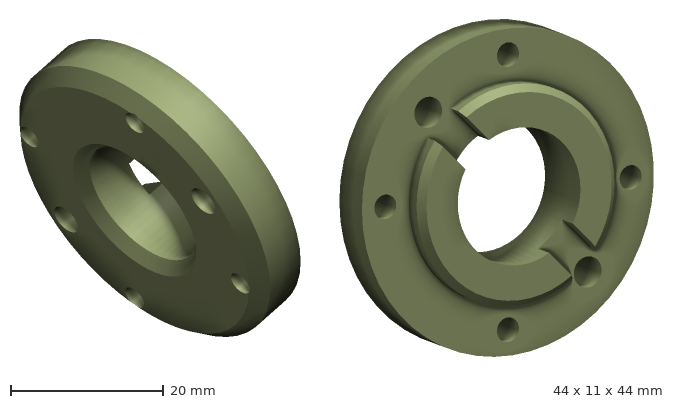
import cadquery as cq
import math

flange_diameter = 44.0
flange_thickness = 8.0
flange_chamfer = 2.0

boss_diameter = 29.85
total_thickness = 11.0
boss_height = total_thickness - flange_thickness
boss_chamfer = 0.95

bore_diameter = 18.5
countersink_diameter = 21.55
countersink_depth = (countersink_diameter - bore_diameter) / 2

small_hole_diameter = 3.3
small_hole_circle_radius = 18.5
small_hole_count = 4
large_hole_diameter = 4.2
large_hole_offset = 12.0
large_hole_circle_radius = large_hole_offset * math.sqrt(2)

slot_width = 5.0
slot_angle = 45.0


def make_ring():
    """Revolve the half section of flange, boss and countersunk bore about Y."""
    flange_radius = flange_diameter / 2
    boss_radius = boss_diameter / 2
    section = [
        (countersink_diameter / 2, 0),
        (flange_radius - flange_chamfer, 0),
        (flange_radius, flange_chamfer),
        (flange_radius, flange_thickness),
        (boss_radius, flange_thickness),
        (boss_radius, total_thickness - boss_chamfer),
        (boss_radius - boss_chamfer, total_thickness),
        (bore_diameter / 2, total_thickness),
        (bore_diameter / 2, countersink_depth),
    ]
    return cq.Workplane("XY").polyline(section).close().revolve(360, (0, 0), (0, 1))


def make_holes(circle_radius, start_angle, count, diameter):
    """Evenly spaced cylinders running through the whole part along Y."""
    return (
        cq.Workplane("XZ")
        .polarArray(circle_radius, start_angle, 360, count)
        .circle(diameter / 2)
        .extrude(-total_thickness)
    )


def make_slot():
    """Diagonal bar that splits the boss down to the back of the flange."""
    return (
        cq.Workplane("XZ", origin=(0, flange_thickness, 0))
        .transformed(rotate=(0, 0, slot_angle))
        .rect(flange_diameter, slot_width)
        .extrude(-boss_height)
    )


small_holes = make_holes(small_hole_circle_radius, 0, small_hole_count, small_hole_diameter)
large_holes = make_holes(large_hole_circle_radius, slot_angle, 2, large_hole_diameter)

result = make_ring().cut(small_holes).cut(large_holes).cut(make_slot())